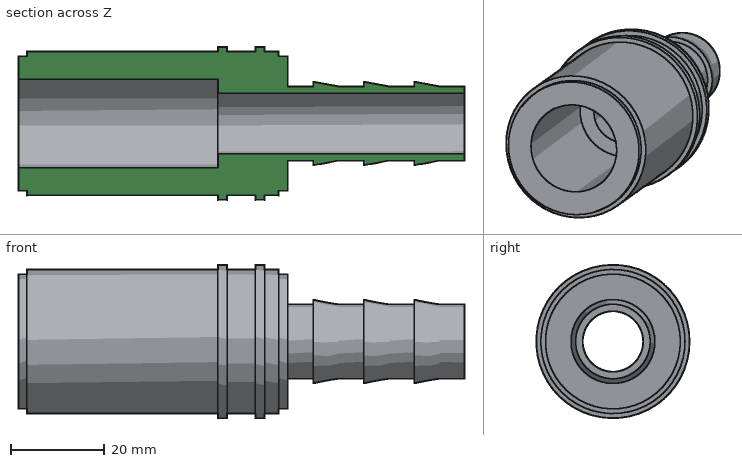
import cadquery as cq


total_length = 96.0
body_length = 58.0
front_step_length = 1.8
rear_step_length = 2.0
ring_width = 2.0
ring_starts = (42.9, 51.0)
socket_depth = ring_starts[0]

body_diameter = 31.0
step_diameter = 29.0
ring_diameter = 33.0
stem_diameter = 16.0
barb_diameter = 18.0
socket_diameter = 19.0
bore_diameter = 13.0

barb_count = 3
band_length = (total_length - body_length) / (2 * barb_count + 1)


def cylinder(start, length, diameter):
    """Solid cylinder on the X axis, running from start towards +X."""
    return cq.Workplane("YZ").workplane(offset=start).circle(diameter / 2).extrude(length)


def barb(start):
    """Cone with its sharp edge towards the body, tapering down to the stem surface."""
    outline = [
        (start, 0),
        (start, barb_diameter / 2),
        (start + band_length, stem_diameter / 2),
        (start + band_length, 0),
    ]
    return cq.Workplane("XY").polyline(outline).close().revolve(360, (0, 0, 0), (1, 0, 0))


barrel_length = body_length - front_step_length - rear_step_length
result = cylinder(0, body_length, step_diameter)
result = result.union(cylinder(front_step_length, barrel_length, body_diameter))

for ring_start in ring_starts:
    result = result.union(cylinder(ring_start, ring_width, ring_diameter))

result = result.union(cylinder(body_length, total_length - body_length, stem_diameter))
for index in range(barb_count):
    barb_start = body_length + (2 * index + 1) * band_length
    result = result.union(barb(barb_start))

result = result.cut(cylinder(0, total_length, bore_diameter))
result = result.cut(cylinder(0, socket_depth, socket_diameter))